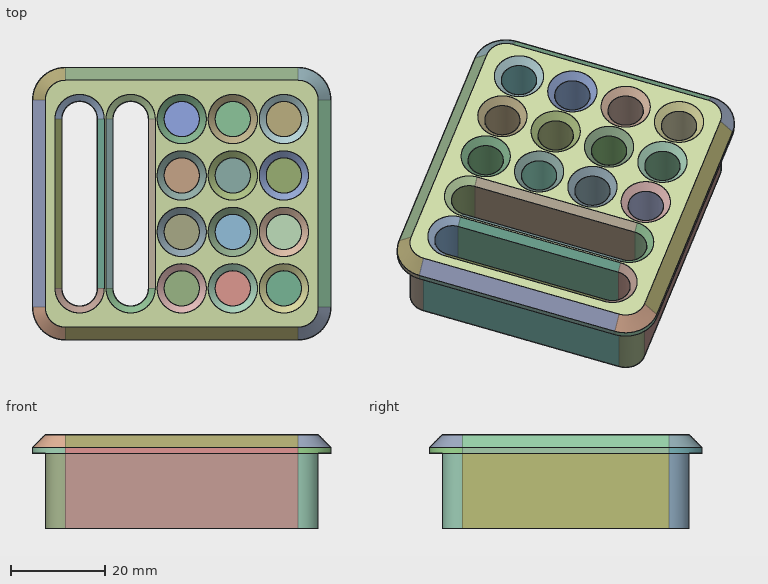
import cadquery as cq

flange_length = 63.5
flange_width = 58.0
total_height = 20.0
flange_height = 4.0
flange_overhang = 2.7
flange_bevel = flange_overhang
flange_corner_radius = 7.0

body_length = flange_length - 2 * flange_overhang
body_width = flange_width - 2 * flange_overhang
body_height = total_height - flange_height
body_corner_radius = flange_corner_radius - flange_overhang

hole_diameter = 7.5
mouth_diameter = 10.5
mouth_bevel = (mouth_diameter - hole_diameter) / 2
column_pitch = 10.85
row_pitch = 12.0
row_count = 4
slot_columns = (-2, -1)
hole_columns = (0, 1, 2)
hole_floor = 2.05
slot_straight_length = (row_count - 1) * row_pitch


def rounded_block(length, width, height, corner_radius, base_z):
    block = cq.Workplane("XY", origin=(0, 0, base_z)).rect(length, width).extrude(height)
    return block.edges("|Z").fillet(corner_radius)


def hole_cutter():
    """Blind round hole with a 45 degree bevelled mouth at the top face, as a revolved profile."""
    hole_radius = hole_diameter / 2
    mouth_radius = mouth_diameter / 2
    return (
        cq.Workplane("XZ")
        .moveTo(0, hole_floor)
        .lineTo(hole_radius, hole_floor)
        .lineTo(hole_radius, total_height - mouth_bevel)
        .lineTo(mouth_radius, total_height)
        .lineTo(0, total_height)
        .close()
        .revolve(360, (0, 0), (0, 1))
    )


def slot_cutter():
    """Through slot along Y with a 45 degree bevelled mouth at the top face."""
    slot = (
        cq.Workplane("XY")
        .slot2D(slot_straight_length + hole_diameter, hole_diameter, 90)
        .extrude(total_height)
    )
    mouth = (
        cq.Workplane("XY", origin=(0, 0, total_height))
        .slot2D(slot_straight_length + mouth_diameter, mouth_diameter, 90)
        .extrude(-mouth_bevel, taper=45)
    )
    return slot.union(mouth)


flange = rounded_block(flange_length, flange_width, flange_height, flange_corner_radius, body_height)
flange = flange.faces(">Z").chamfer(flange_bevel)
body = rounded_block(body_length, body_width, body_height, body_corner_radius, 0)
result = body.union(flange)

slot = slot_cutter()
for column in slot_columns:
    result = result.cut(slot.translate((column * column_pitch, 0, 0)))

hole = hole_cutter()
for column in hole_columns:
    for row in range(row_count):
        row_y = (row - (row_count - 1) / 2) * row_pitch
        result = result.cut(hole.translate((column * column_pitch, row_y, 0)))